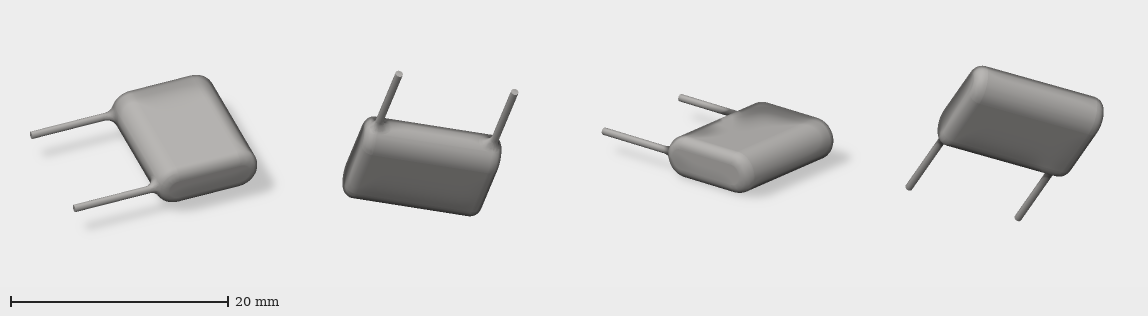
import cadquery as cq

total_length = 18.0
housing_width = 13.0
housing_depth = 10.0
housing_thickness = 4.0
end_fillet = 1.0

lead_pitch = housing_width - 2 * end_fillet
lead_diameter = 0.7
collar_fillet = 1.0
collar_length = 1.0

nose_radius = housing_thickness / 2
housing_front = -housing_depth / 2
collar_front = housing_front - collar_length
lead_tip = housing_depth / 2 - total_length
lead_positions = (-lead_pitch / 2, lead_pitch / 2)


def lead_rod(x, y_start, y_end):
    """Round rod at the lead position x, running along Y from y_start to y_end."""
    return (
        cq.Workplane("XZ", origin=(x, y_end, 0))
        .circle(lead_diameter / 2)
        .extrude(y_end - y_start)
    )


def make_housing():
    """Stadium section along X with rounded ends and a flared collar around each lead."""
    body = (
        cq.Workplane("YZ")
        .slot2D(housing_depth, housing_thickness)
        .extrude(housing_width / 2, both=True)
        .faces("<X or >X")
        .edges()
        .fillet(end_fillet)
    )
    for x in lead_positions:
        body = body.union(lead_rod(x, lead_tip, housing_front + nose_radius))

    joint_zone = cq.selectors.BoxSelector(
        (-housing_width, housing_front - lead_diameter, -lead_diameter),
        (housing_width, housing_front + lead_diameter, lead_diameter),
        boundingbox=True,
    )
    body = body.edges(joint_zone).fillet(collar_fillet)

    for x in lead_positions:
        body = body.cut(lead_rod(x, lead_tip, collar_front))
    return body


housing = make_housing()
leads = [lead_rod(x, lead_tip, collar_front) for x in lead_positions]

result = cq.Compound.makeCompound([housing.val(), *[lead.val() for lead in leads]])